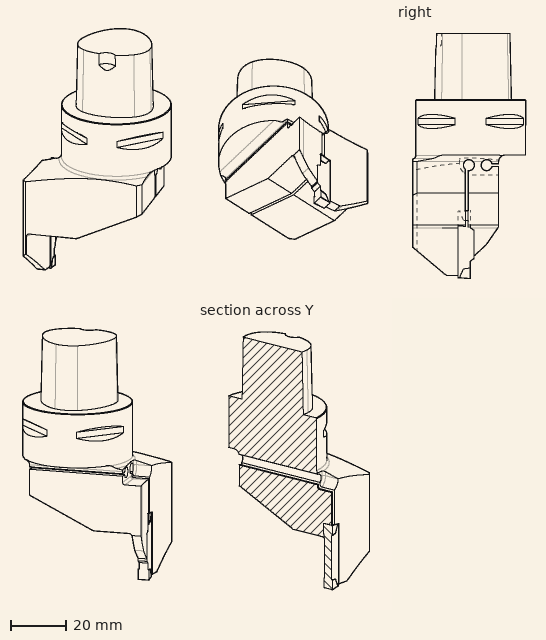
import cadquery as cq
import math


shank_height = 24.0
shank_mean_radius_top = 13.4
shank_mean_radius_base = 14.0
shank_lobe = 0.83
lobe_count = 3
lobe_pitch = 360 / lobe_count
lobe_half_angle = 20.0
curve_steps = 8
key_radius = 3.6
key_axis_y = -14.2
key_depth = 4.3
key_tip_height = 3.2

flange_radius = 40.0 / 2
flange_bottom = -20.1
flange_chamfer = 0.3
groove_count = 4
groove_floor_distance = 17.5
groove_floor_width = 2.3
groove_center_z = -7.9
groove_flank_angle = 30.0

overall_depth = 41.0
head_front = flange_radius - overall_depth
head_back = 10.15
head_right = 15.1
head_bottom = -45.5
slope_start_x = -9.2
slope_end_z = -33.9
corner_setback = 1.5
right_corner_length = 1.7
left_corner_length = 1.3
shoulder_angle = 15.0
shoulder_z = -21.2
neck_fillet = 1.2
root_fillet = 2.4

outer_apex_x = -26.7
outer_apex_y = 0.9
outer_radius = 71.2
outer_flat_y = 8.0
outer_back_x = -27.3
inner_apex_x = -23.3
inner_apex_y = 2.2
inner_radius = 60.5
blade_root_fillet = 1.1
heel_top_z = -53.6
heel_bevel = (-9.6, -63.2)
blade_tip = (-8.7, -63.8)
jaw_back_z = -46.1
jaw_middle = (5.6, -52.7)
jaw_tip = (1.2, -56.8)

notch_wall_x = -20.3
notch_floor_z = -27.4
notch_end_y = -4.1
notch_corner_radius = 4.3
notch_fillet = 0.9
hinge_hole_radius = 2.0
hinge_z = -23.8
front_hinge_y = -0.67
back_hinge_y = 5.8
slot_width = 1.0
clamp_slot_y = -1.4
relief_slot_height = 0.9

tool_tip = shank_height - 89.0
insert_length = 24.8
insert_middle_z = tool_tip + insert_length / 2
insert_rake_y = -0.1
insert_back_y = 1.25
insert_seat_y = -4.6
insert_end_relief = 0.4
insert_half_waist = 5.1
insert_waist_bevel = 1.0
insert_center_x = -25.0
insert_width = 3.4
edge_width = 4.0
tip_height = 3.9
tip_inner_height = 3.6
tip_base_y = -4.1
tip_inner_y = -2.7

margin = 8.9
selection_gap = 0.1


def outer_x(y):
    """X of the concave outer blade face at a given Y."""
    rise = y - outer_apex_y
    return outer_apex_x - outer_radius + math.sqrt(outer_radius**2 - rise**2)


def inner_x(y):
    """X of the convex inner blade face at a given Y."""
    rise = y - inner_apex_y
    return inner_apex_x - inner_radius + math.sqrt(inner_radius**2 - rise**2)


def prism_along_x(points, x_start, x_end):
    """Solid from a (y, z) outline, spanning x_start to x_end."""
    plane = cq.Workplane("YZ", origin=(x_start, 0, 0))
    return plane.polyline(points).close().extrude(x_end - x_start)


def box_between(low, high):
    """Axis-aligned box between two opposite corners."""
    size = [b - a for a, b in zip(low, high)]
    return cq.Workplane("XY").box(*size, centered=False).translate(low)


def lobed_wire(mean_radius, z):
    """Three-lobed closed curve, one lobe toward +Y, split where lobes meet sides."""
    def point(angle):
        u = math.radians(angle)
        return cq.Vector(
            -mean_radius * math.sin(u) + shank_lobe * math.sin(2 * u),
            mean_radius * math.cos(u) + shank_lobe * math.cos(2 * u),
            z,
        )

    def curve(start, end):
        step = (end - start) / curve_steps
        return cq.Edge.makeSpline([point(start + i * step) for i in range(curve_steps + 1)])

    edges = []
    for i in range(lobe_count):
        lobe_end = i * lobe_pitch + lobe_half_angle
        edges.append(curve(lobe_end - 2 * lobe_half_angle, lobe_end))
        edges.append(curve(lobe_end, lobe_end + lobe_pitch - 2 * lobe_half_angle))
    return cq.Wire.assembleEdges(edges)


def make_shank():
    base = lobed_wire(shank_mean_radius_base, 0)
    top = lobed_wire(shank_mean_radius_top, shank_height)
    shank = cq.Workplane(cq.Solid.makeLoft([base, top], True))
    key_floor = shank_height - key_depth
    key_cutter = (
        cq.Workplane("XZ")
        .polyline([
            (0, key_floor - key_tip_height),
            (key_radius, key_floor),
            (key_radius, shank_height + margin),
            (0, shank_height + margin),
        ])
        .close()
        .revolve(360, (0, 0), (0, 1))
        .translate((0, key_axis_y, 0))
    )
    return shank.cut(key_cutter)


def make_flange():
    flange = (
        cq.Workplane("XY")
        .circle(flange_radius)
        .extrude(flange_bottom)
        .faces(">Z")
        .edges()
        .chamfer(flange_chamfer)
    )
    half_floor = groove_floor_width / 2
    reach = flange_radius + margin
    half_mouth = half_floor + (reach - groove_floor_distance) * math.tan(math.radians(groove_flank_angle))
    groove = (
        cq.Workplane("XZ")
        .polyline([
            (groove_floor_distance, groove_center_z - half_floor),
            (reach, groove_center_z - half_mouth),
            (reach, groove_center_z + half_mouth),
            (groove_floor_distance, groove_center_z + half_floor),
        ])
        .close()
        .extrude(flange_radius, both=True)
    )
    step = 360 / groove_count
    for i in range(groove_count):
        flange = flange.cut(groove.rotate((0, 0, 0), (0, 0, 1), step * (i + 0.5)))
    return flange


def make_shoulder_envelope():
    """Everything under the flange and its conical shoulder, neck fillet included."""
    slope = math.radians(shoulder_angle)
    outer_reach = 2 * flange_radius
    tangent = neck_fillet * math.tan((math.pi / 2 - slope) / 2)
    fillet_center = (flange_radius + neck_fillet, shoulder_z + tangent)
    middle_angle = math.pi + (math.pi / 2 - slope) / 2
    fillet_middle = (
        fillet_center[0] + neck_fillet * math.cos(middle_angle),
        fillet_center[1] + neck_fillet * math.sin(middle_angle),
    )
    fillet_end = (
        flange_radius + tangent * math.cos(slope),
        shoulder_z - tangent * math.sin(slope),
    )
    return (
        cq.Workplane("XZ")
        .moveTo(0, flange_bottom)
        .lineTo(flange_radius, flange_bottom)
        .lineTo(flange_radius, fillet_center[1])
        .threePointArc(fillet_middle, fillet_end)
        .lineTo(outer_reach, shoulder_z - (outer_reach - flange_radius) * math.tan(slope))
        .lineTo(outer_reach, tool_tip)
        .lineTo(0, tool_tip)
        .close()
        .revolve(360, (0, 0), (0, 1))
    )


def start_outer_face(plane):
    """Outline of the outer face from the back corner to the front corner."""
    corner_y = head_front + corner_setback
    return (
        plane.moveTo(outer_back_x, head_back)
        .lineTo(outer_x(outer_flat_y), outer_flat_y)
        .threePointArc((outer_apex_x, outer_apex_y), (outer_x(corner_y), corner_y))
        .lineTo(outer_x(corner_y) + left_corner_length, head_front)
    )


def make_head():
    plane = cq.Workplane("XY", origin=(0, 0, head_bottom))
    head = (
        start_outer_face(plane)
        .lineTo(head_right - right_corner_length, head_front)
        .lineTo(head_right, head_front + corner_setback)
        .lineTo(head_right, head_back)
        .close()
        .extrude(flange_bottom - head_bottom)
    )
    underside = (
        cq.Workplane("XZ", origin=(0, head_back + margin, 0))
        .polyline([(slope_start_x, head_bottom), (head_right, slope_end_z), (head_right, head_bottom)])
        .close()
        .extrude(head_back - head_front + 2 * margin)
    )
    return head.cut(underside)


def make_root_flare():
    """Concave flare that joins the right and back walls to the flange."""
    flare_x = head_right + root_fillet
    flare_y = head_back + root_fillet
    flare_bottom = flange_bottom - root_fillet
    left = 2 * outer_back_x
    length = 4 * flange_radius
    flare = box_between(
        (outer_back_x, head_front + corner_setback, flare_bottom),
        (flare_x, flare_y, flange_bottom),
    )
    along_y = (
        cq.Workplane("XZ", origin=(0, 2 * flange_radius, 0))
        .center(flare_x, flare_bottom)
        .circle(root_fillet)
        .extrude(length)
    )
    along_x = (
        cq.Workplane("YZ", origin=(left, 0, 0))
        .center(flare_y, flare_bottom)
        .circle(root_fillet)
        .extrude(length)
    )
    return flare.cut(along_y).cut(along_x)


def make_blade():
    plane = cq.Workplane("XY", origin=(0, 0, tool_tip))
    plan = (
        start_outer_face(plane)
        .lineTo(inner_x(head_front), head_front)
        .threePointArc((inner_apex_x, inner_apex_y), (inner_x(head_back), head_back))
        .close()
        .extrude(head_bottom - tool_tip)
    )
    side = prism_along_x(
        [
            (head_back, head_bottom),
            (head_back, jaw_back_z),
            jaw_middle,
            jaw_tip,
            (insert_seat_y, jaw_tip[1]),
            (insert_seat_y, blade_tip[1]),
            blade_tip,
            heel_bevel,
            (head_front, heel_top_z),
            (head_front, head_bottom),
        ],
        2 * outer_back_x,
        0,
    )
    return plan.intersect(side)


def cut_notch(holder):
    """Open notch above the clamping jaw, rounded where its wall meets the floor."""
    left = outer_back_x - margin
    notch = (
        box_between((left, notch_end_y, notch_floor_z), (notch_wall_x, head_back + margin, flange_bottom))
        .edges("|X and <Y and <Z")
        .fillet(notch_corner_radius)
        .faces(">X")
        .edges("<Z")
        .fillet(notch_fillet)
    )
    return holder.cut(notch)


def cut_clamp_slots(holder):
    """Two hinge holes, the long slot down to the insert and the slot to the back."""
    left = outer_back_x - margin
    right = head_right + margin
    holes = (
        cq.Workplane("YZ", origin=(left, 0, 0))
        .pushPoints([(front_hinge_y, hinge_z), (back_hinge_y, hinge_z)])
        .circle(hinge_hole_radius)
        .extrude(right - left)
    )
    half_slot = slot_width / 2
    clamp_slot = box_between(
        (left, clamp_slot_y - half_slot, tool_tip),
        (right, clamp_slot_y + half_slot, hinge_z),
    )
    half_relief = relief_slot_height / 2
    relief_slot = box_between(
        (left, back_hinge_y, hinge_z - half_relief),
        (right, head_back + margin, hinge_z + half_relief),
    )
    return holder.cut(holes).cut(clamp_slot).cut(relief_slot)


def insert_outline():
    """(y, z) outline of the insert shank about its middle."""
    half = insert_length / 2
    upper = [
        (insert_seat_y, half - insert_end_relief),
        (insert_rake_y, half),
        (insert_rake_y, insert_half_waist + insert_waist_bevel),
        (insert_back_y, insert_half_waist),
    ]
    lower = [(y, -z) for y, z in reversed(upper)]
    return upper + lower


def make_insert_shank(x_start):
    """Plain insert body in place, from x_start to its inner face."""
    shank = prism_along_x(insert_outline(), x_start, insert_center_x + insert_width / 2)
    return shank.translate((0, 0, insert_middle_z))


def make_insert_tip():
    """Upper cutting tip about the insert's middle, tapering from its edge to the shank width."""
    half = insert_length / 2
    half_edge = edge_width / 2
    side = prism_along_x(
        [
            (insert_rake_y, half),
            (tip_base_y, half - insert_end_relief),
            (tip_inner_y, half - tip_inner_height),
            (insert_rake_y, half - tip_height),
        ],
        insert_center_x - half_edge,
        insert_center_x + half_edge,
    )
    plan = (
        cq.Workplane("XY", origin=(insert_center_x, 0, 0))
        .polyline([
            (-half_edge, insert_rake_y),
            (half_edge, insert_rake_y),
            (insert_width / 2, tip_base_y),
            (-insert_width / 2, tip_base_y),
        ])
        .close()
        .extrude(half)
    )
    return side.intersect(plan)


def make_insert():
    """Double-ended insert: a plain shank with a flared cutting tip at each end."""
    upper_tip = make_insert_tip()
    tips = upper_tip.union(upper_tip.mirror("XY")).translate((0, 0, insert_middle_z))
    return make_insert_shank(insert_center_x - insert_width / 2).union(tips)


def make_holder(insert):
    head = make_head().union(make_blade())
    root = cq.selectors.BoxSelector(
        (outer_back_x - margin, head_front - margin, head_bottom - selection_gap),
        (inner_apex_x, head_back + margin, head_bottom + selection_gap),
    )
    head = head.edges(root).edges("%CIRCLE").edges(">X").fillet(blade_root_fillet)
    head = head.union(make_root_flare()).intersect(make_shoulder_envelope())
    head = cut_clamp_slots(cut_notch(head))
    holder = head.union(make_flange()).union(make_shank())
    open_pocket = make_insert_shank(outer_back_x - margin)
    return holder.cut(open_pocket).cut(insert)


insert = make_insert()
holder = make_holder(insert)

result = cq.Compound.makeCompound([holder.val(), insert.val()])